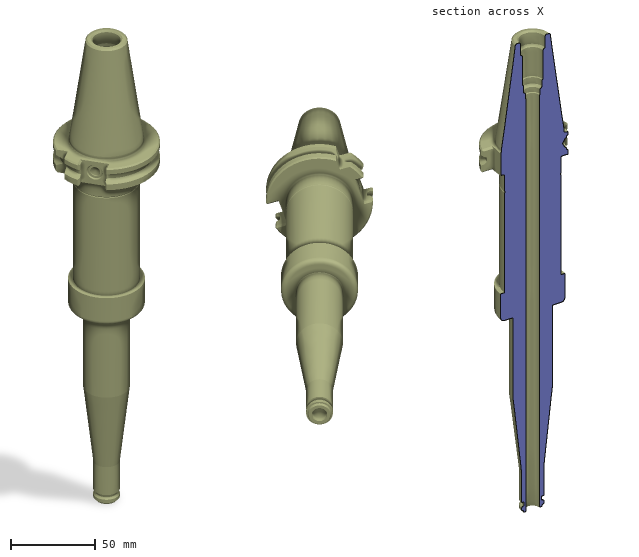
import cadquery as cq
import math

total_height = 324.2
taper_length = 69.5
gauge_band_length = 2.3
gauge_z = total_height - taper_length
flange_thickness = 16.0
flange_top_z = gauge_z - gauge_band_length
flange_bottom_z = flange_top_z - flange_thickness
joint_z = 224.7
collar_top_z = 155.5
collar_bottom_z = 136.2
cone_top_z = 79.8
cone_bottom_z = 27.0
ring_groove_top_z = 7.0
ring_top_z = 5.0
ring_bottom_z = 1.5

taper_diameter = 44.5
taper_end_diameter = 25.0
flange_diameter = 63.5
body_diameter = 40.0
collar_diameter = 45.7
shank_diameter = 28.0
tip_diameter = 16.0
tip_neck_diameter = 13.0
nose_diameter = 14.0

taper_end_chamfer = 1.0
flange_chamfer = 0.8
flange_fillet = 1.0
collar_fillet = 3.0
shank_chamfer = 0.5
ring_chamfer = 1.0

joint_width = 1.0
joint_depth = 0.3

groove_z = 245.0
groove_mouth_width = 7.0
groove_root_diameter = 56.5
groove_half_angle = 30.0

bore_mouth_diameter = 17.0
bore_mouth_chamfer = 1.0
bore_mouth_depth = 8.8
thread_diameter = 14.0
thread_depth = 30.0
pilot_diameter = 13.0
pilot_depth = 35.0
seat_diameter = 10.0
seat_depth = 40.0
through_diameter = 9.0

slot_width = 16.0
slot_chamfer = 1.15
slot_corner_fillet = 0.8
back_slot_floor = 22.7
front_slot_floor = 25.0

notch_offset = 18.5
notch_fillet = 1.0

screw_head_diameter = 10.0
screw_head_depth = 1.0
screw_seat_diameter = 9.0
screw_diameter = 6.0
screw_depth = 2.0
screw_point_angle = 118.0


def turned_body():
    """Revolve the outer profile, from the taper end down to the tip."""
    flange_radius = flange_diameter / 2
    root_radius = groove_root_diameter / 2
    mouth_half = groove_mouth_width / 2
    root_half = mouth_half - (flange_radius - root_radius) * math.tan(math.radians(groove_half_angle))
    taper_radius = taper_diameter / 2
    body_radius = body_diameter / 2
    collar_radius = collar_diameter / 2
    tip_radius = tip_diameter / 2
    neck_radius = tip_neck_diameter / 2
    arc_inset = collar_fillet * (1 - math.sqrt(0.5))
    outline = (
        cq.Workplane("XZ")
        .moveTo(0, total_height)
        .lineTo(taper_end_diameter / 2 - taper_end_chamfer, total_height)
        .lineTo(taper_end_diameter / 2, total_height - taper_end_chamfer)
        .lineTo(taper_radius, gauge_z)
        .lineTo(taper_radius, flange_top_z + flange_fillet)
        .radiusArc((taper_radius + flange_fillet, flange_top_z), -flange_fillet)
        .lineTo(flange_radius - flange_chamfer, flange_top_z)
        .lineTo(flange_radius, flange_top_z - flange_chamfer)
        .lineTo(flange_radius, groove_z + mouth_half)
        .lineTo(root_radius, groove_z + root_half)
        .lineTo(root_radius, groove_z - root_half)
        .lineTo(flange_radius, groove_z - mouth_half)
        .lineTo(flange_radius, flange_bottom_z + flange_chamfer)
        .lineTo(flange_radius - flange_chamfer, flange_bottom_z)
        .lineTo(body_radius + flange_fillet, flange_bottom_z)
        .radiusArc((body_radius, flange_bottom_z - flange_fillet), -flange_fillet)
        .lineTo(body_radius, joint_z + joint_width / 2)
        .lineTo(body_radius - joint_depth, joint_z)
        .lineTo(body_radius, joint_z - joint_width / 2)
        .lineTo(body_radius, collar_top_z)
        .lineTo(collar_radius, collar_top_z)
        .lineTo(collar_radius, collar_bottom_z + collar_fillet)
        .threePointArc(
            (collar_radius - arc_inset, collar_bottom_z + arc_inset),
            (collar_radius - collar_fillet, collar_bottom_z),
        )
        .lineTo(shank_diameter / 2 + shank_chamfer, collar_bottom_z)
        .lineTo(shank_diameter / 2, collar_bottom_z - shank_chamfer)
        .lineTo(shank_diameter / 2, cone_top_z)
        .lineTo(tip_radius, cone_bottom_z)
        .lineTo(tip_radius, ring_groove_top_z)
        .lineTo(neck_radius, ring_groove_top_z)
        .lineTo(neck_radius, ring_top_z)
        .lineTo(tip_radius - ring_chamfer, ring_top_z)
        .lineTo(tip_radius, ring_top_z - ring_chamfer)
        .lineTo(tip_radius, ring_bottom_z)
        .lineTo(nose_diameter / 2, ring_bottom_z)
        .lineTo(neck_radius, 0)
        .lineTo(0, 0)
        .close()
    )
    return outline.revolve(360, (0, 0, 0), (0, 1, 0))


def axial_bore():
    """Chamfered mouth, then coned steps down to the hole that runs right through."""
    steps = (
        (bore_mouth_diameter, bore_mouth_depth),
        (thread_diameter, thread_depth),
        (pilot_diameter, pilot_depth),
        (seat_diameter, seat_depth),
        (through_diameter, total_height),
    )
    profile = cq.Workplane("XZ").moveTo(0, total_height)
    radius = bore_mouth_diameter / 2 + bore_mouth_chamfer
    profile = profile.lineTo(radius, total_height)
    depth = 0
    for step_diameter, step_depth in steps:
        depth += radius - step_diameter / 2
        radius = step_diameter / 2
        profile = profile.lineTo(radius, total_height - depth)
        depth = step_depth
        profile = profile.lineTo(radius, total_height - depth)
    return profile.lineTo(0, 0).close().revolve(360, (0, 0, 0), (0, 1, 0))


def drive_slot(side, floor):
    """Cutter for one slot: rounded floor corners, walls chamfered at the top, bottom and outer edges."""
    reach = flange_diameter / 2
    half_width = slot_width / 2
    wide_half = half_width + slot_chamfer
    length = reach - floor
    channel = (
        cq.Workplane("XY", origin=(0, side * (floor + length / 2), flange_bottom_z))
        .rect(slot_width, length)
        .extrude(flange_thickness)
        .edges("|Z and " + ("<Y" if side > 0 else ">Y"))
        .fillet(slot_corner_fillet)
    )
    flare_end = math.sqrt(reach**2 - wide_half**2)
    flare_half = wide_half + reach - flare_end
    outer_flare = (
        cq.Workplane("XY", origin=(0, 0, flange_bottom_z))
        .moveTo(-half_width, side * (flare_end - slot_chamfer))
        .lineTo(half_width, side * (flare_end - slot_chamfer))
        .lineTo(flare_half, side * reach)
        .lineTo(-flare_half, side * reach)
        .close()
        .extrude(flange_thickness)
    )
    face_flares = cq.Workplane("XY")
    for face_z, inward in ((flange_top_z, -1), (flange_bottom_z, 1)):
        flare = (
            cq.Workplane("XZ", origin=(0, side * floor, 0))
            .moveTo(-wide_half, face_z)
            .lineTo(wide_half, face_z)
            .lineTo(half_width, face_z + inward * slot_chamfer)
            .lineTo(-half_width, face_z + inward * slot_chamfer)
            .close()
            .extrude(-side * length)
        )
        face_flares = face_flares.add(flare)
    return channel.union(outer_flare).union(face_flares)


def corner_notch():
    """Cutter for the flange corner, rounded inside, on the -X, -Y side."""
    return (
        cq.Workplane("XY", origin=(-notch_offset, -notch_offset, flange_bottom_z))
        .rect(-flange_diameter, -flange_diameter, centered=False)
        .extrude(flange_thickness)
        .edges("|Z and >X and >Y")
        .fillet(notch_fillet)
    )


def screw_hole():
    """Countersunk blind hole with a drill point, entering the front slot floor toward +Y."""
    point_length = screw_diameter / 2 / math.tan(math.radians(screw_point_angle / 2))
    return (
        cq.Workplane("XY", origin=(0, -front_slot_floor, groove_z))
        .lineTo(screw_head_diameter / 2, 0)
        .lineTo(screw_seat_diameter / 2, screw_head_depth)
        .lineTo(screw_diameter / 2, screw_head_depth)
        .lineTo(screw_diameter / 2, screw_depth)
        .lineTo(0, screw_depth + point_length)
        .close()
        .revolve(360, (0, 0, 0), (0, 1, 0))
    )


result = (
    turned_body()
    .cut(axial_bore())
    .cut(drive_slot(1, back_slot_floor))
    .cut(drive_slot(-1, front_slot_floor))
    .cut(corner_notch())
    .cut(screw_hole())
)